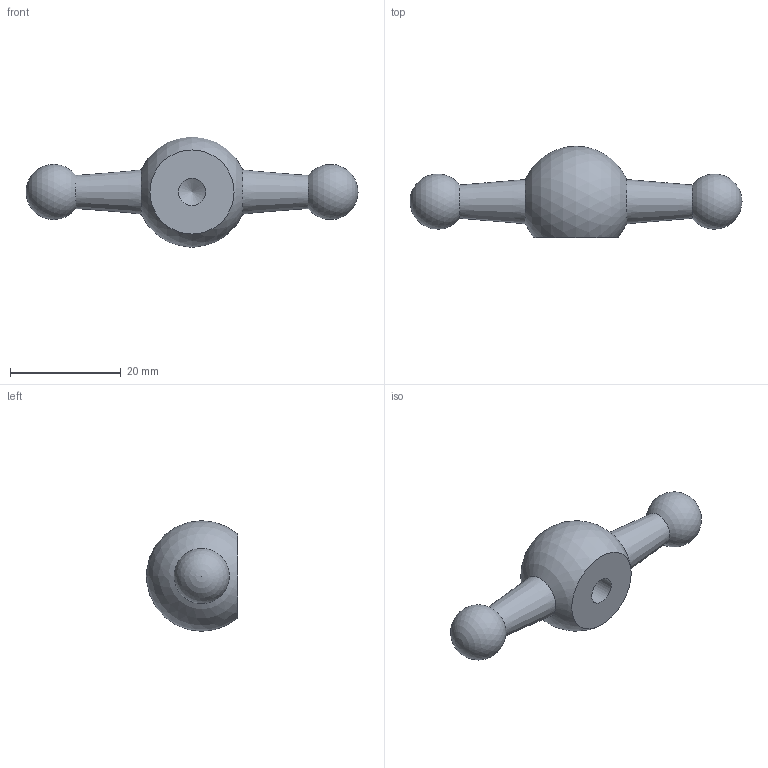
import cadquery as cq
import math

hub_radius = 10.0
flat_offset = 6.5

overall_length = 60.0
end_ball_radius = 5.0
end_ball_offset = overall_length / 2 - end_ball_radius

arm_hub_radius = 4.0
arm_end_radius = 3.0
arm_start = math.sqrt(hub_radius**2 - arm_hub_radius**2)
arm_end = end_ball_offset - math.sqrt(end_ball_radius**2 - arm_end_radius**2)

hole_diameter = 5.0
hole_depth = 10.0
drill_point_angle = 120.0


def handle_bar():
    """Revolve the hub, both arms and both ball ends about the X axis."""
    diagonal = math.sqrt(0.5)
    ball_mid = (end_ball_offset + end_ball_radius * diagonal, end_ball_radius * diagonal)
    half_length = overall_length / 2
    profile = (
        cq.Workplane("XY")
        .moveTo(-half_length, 0)
        .threePointArc((-ball_mid[0], ball_mid[1]), (-arm_end, arm_end_radius))
        .lineTo(-arm_start, arm_hub_radius)
        .threePointArc((0, hub_radius), (arm_start, arm_hub_radius))
        .lineTo(arm_end, arm_end_radius)
        .threePointArc(ball_mid, (half_length, 0))
        .close()
    )
    return profile.revolve(360, (0, 0, 0), (1, 0, 0))


def flat_cutter():
    """Block that removes the hub cap beyond the flat face."""
    cap_height = hub_radius - flat_offset
    cap_width = 2 * hub_radius
    return (
        cq.Workplane("XY")
        .box(cap_width, cap_height, cap_width)
        .translate((0, -flat_offset - cap_height / 2, 0))
    )


def drilled_hole():
    """Cylinder with a conical drill point, running from the flat face towards +Y."""
    hole_radius = hole_diameter / 2
    hole_bottom = hole_depth - flat_offset
    point_length = hole_radius / math.tan(math.radians(drill_point_angle / 2))
    return (
        cq.Workplane("XY")
        .moveTo(0, -flat_offset)
        .lineTo(hole_radius, -flat_offset)
        .lineTo(hole_radius, hole_bottom)
        .lineTo(0, hole_bottom + point_length)
        .close()
        .revolve(360, (0, 0, 0), (0, 1, 0))
    )


result = handle_bar().cut(flat_cutter()).cut(drilled_hole())